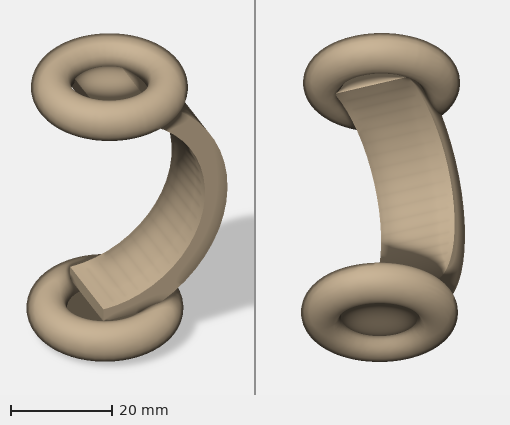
import cadquery as cq

ring_outer_diameter = 31.0
tube_diameter = 8.0
total_height = 61.0
ring_radius = (ring_outer_diameter - tube_diameter) / 2
lower_ring_z = tube_diameter / 2
upper_ring_z = total_height - tube_diameter / 2
upper_ring_y = 4.9
lower_ring_y = 3.9

arm_outer_radius = 26.85
arm_thickness = 4.9
arm_width = 16.0
arm_center_z = 31.85
arm_flat_distance = 24.9

plate_thickness = 1.0


def ring(center_y, center_z):
    return (
        cq.Workplane("XZ")
        .center(-ring_radius, 0)
        .circle(tube_diameter / 2)
        .revolve(360, (ring_radius, 0), (ring_radius, 1))
        .translate((0, center_y, center_z))
    )


def curved_arm():
    inner_radius = arm_outer_radius - arm_thickness
    band = (
        cq.Workplane("YZ")
        .moveTo(0, arm_outer_radius)
        .threePointArc((arm_outer_radius, 0), (0, -arm_outer_radius))
        .lineTo(0, -inner_radius)
        .threePointArc((inner_radius, 0), (0, inner_radius))
        .close()
        .extrude(arm_width / 2, both=True)
        .translate((0, 0, arm_center_z))
    )
    slab = cq.Workplane("XY", origin=(0, 0, arm_center_z)).box(
        2 * arm_width, 3 * arm_outer_radius, 2 * arm_flat_distance
    )
    return band.intersect(slab)


def lower_plate():
    return (
        cq.Workplane("XY", origin=(0, lower_ring_y, lower_ring_z - plate_thickness))
        .circle(ring_radius)
        .extrude(plate_thickness)
    )


result = (
    curved_arm()
    .union(ring(upper_ring_y, upper_ring_z))
    .union(ring(lower_ring_y, lower_ring_z))
    .union(lower_plate())
)